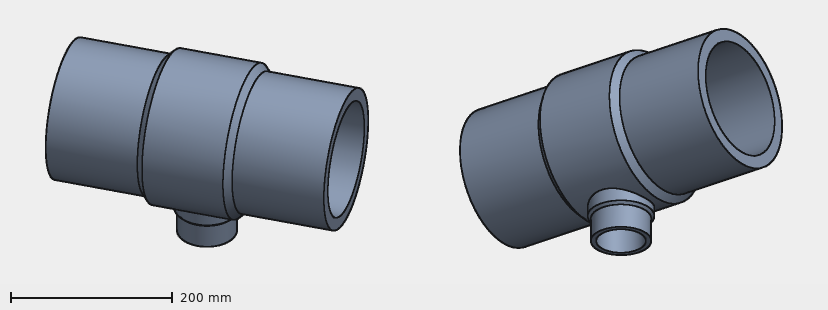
import cadquery as cq

pipe_length = 362.0
pipe_diameter = 180.0
bore_diameter = 147.5

sleeve_length = 123.5
sleeve_diameter = 198.0
sleeve_chamfer = (sleeve_diameter - pipe_diameter) / 2

overall_height = 243.0
branch_reach = overall_height - sleeve_diameter / 2
branch_diameter = 75.0
branch_bore_diameter = 61.5
collar_diameter = 82.5
collar_reach = 112.5
collar_chamfer = (collar_diameter - branch_diameter) / 2


def cylinder_along_x(diameter, length):
    """Cylinder along X, centred on the origin."""
    return cq.Workplane("YZ", origin=(-length / 2, 0, 0)).circle(diameter / 2).extrude(length)


def cylinder_down(diameter, reach):
    """Cylinder from the pipe axis down to z = -reach."""
    return cq.Workplane("XY").circle(diameter / 2).extrude(-reach)


pipe = cylinder_along_x(pipe_diameter, pipe_length)
sleeve = cylinder_along_x(sleeve_diameter, sleeve_length).edges().chamfer(sleeve_chamfer)

branch = cylinder_down(branch_diameter, branch_reach)
collar = cylinder_down(collar_diameter, collar_reach).faces("<Z").edges().chamfer(collar_chamfer)

result = (
    pipe.union(sleeve)
    .union(collar)
    .union(branch)
    .cut(cylinder_along_x(bore_diameter, pipe_length))
    .cut(cylinder_down(branch_bore_diameter, branch_reach))
)